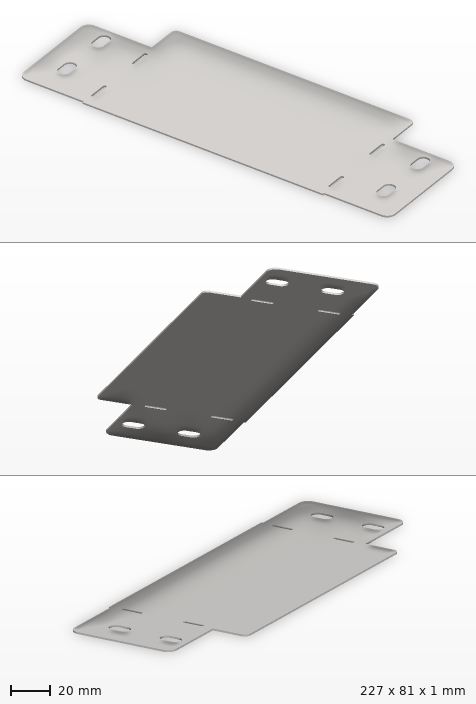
import cadquery as cq

thickness = 1.0
body_length = 147.0
tab_length = 40.0
tab_width = 60.0
rear_overhang = 20.0
front_overhang = 1.0
body_corner_radius = 3.0
tab_corner_radius = 5.0

mounting_slot_width = 7.0
mounting_slot_length = 12.0
mounting_slot_end_distance = 16.0
mounting_slot_pitch = 30.0
mounting_slot_rear_distance = 10.0

narrow_slot_width = 2.0
narrow_slot_length = 12.0
narrow_slot_pitch = 36.0

overall_length = body_length + 2 * tab_length
body_width = tab_width + rear_overhang + front_overhang
body_center_y = (rear_overhang - front_overhang) / 2
mounting_slot_x = overall_length / 2 - mounting_slot_end_distance
rear_mounting_slot_y = tab_width / 2 - mounting_slot_rear_distance
narrow_slot_x = (body_length - narrow_slot_width) / 2


def make_plate():
    """Join the tab strip, rounded at all corners, to the body, rounded at its rear corners."""
    tab_strip = (
        cq.Workplane("XY")
        .rect(overall_length, tab_width)
        .extrude(thickness)
        .edges("|Z")
        .fillet(tab_corner_radius)
    )
    body = (
        cq.Workplane("XY")
        .center(0, body_center_y)
        .rect(body_length, body_width)
        .extrude(thickness)
        .edges("|Z and >Y")
        .fillet(body_corner_radius)
    )
    return tab_strip.union(body)


def make_slot_cutters(x_distance, y_positions, length, width):
    """Round-ended slots along Y, mirrored about the YZ plane."""
    centers = [(side * x_distance, y) for side in (-1, 1) for y in y_positions]
    return cq.Workplane("XY").pushPoints(centers).slot2D(length, width, 90).extrude(thickness)


mounting_slots = make_slot_cutters(
    mounting_slot_x,
    (rear_mounting_slot_y, rear_mounting_slot_y - mounting_slot_pitch),
    mounting_slot_length,
    mounting_slot_width,
)
narrow_slots = make_slot_cutters(
    narrow_slot_x,
    (narrow_slot_pitch / 2, -narrow_slot_pitch / 2),
    narrow_slot_length,
    narrow_slot_width,
)

result = make_plate().cut(mounting_slots).cut(narrow_slots)